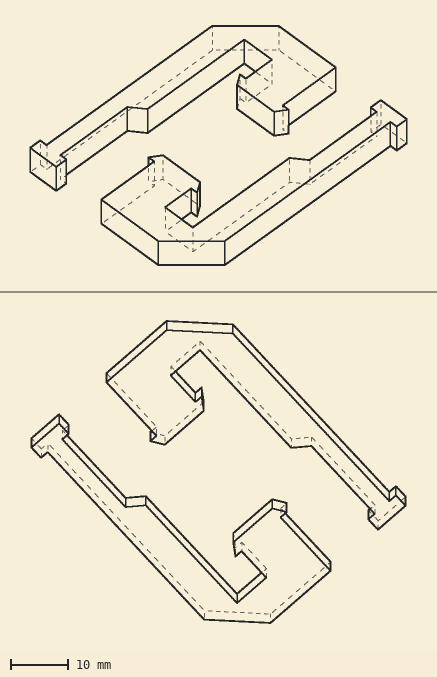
import cadquery as cq

pair_width = 41.0
pair_length = 50.95
thickness = 6.0

foot_width = 6.4
foot_length = 2.5
foot_overhang = 1.55
stem_width = 3.4
stem_end = 18.8

arm_width = 6.2
shoulder_end = 20.9

head_width = 22.05
corner_chamfer = 8.1
bridge_depth = 6.5
finger_width = 9.05

barb_overhang = 1.45
barb_length = 2.15
finger_length = 15.05


def make_hook():
    """Hook with its foot at the -X, -Y corner; the pair is centred on the Z axis."""
    left = -pair_width / 2
    bottom = -pair_length / 2
    top = pair_length / 2
    foot_right = left + foot_width
    foot_top = bottom + foot_length
    outer = left + foot_overhang
    stem_inner = outer + stem_width
    arm_inner = outer + arm_width
    finger_outer = outer + head_width
    finger_inner = finger_outer - finger_width
    tip = top - finger_length
    barb_top = tip + barb_length

    outline = [
        (left, bottom),
        (foot_right, bottom),
        (foot_right, foot_top),
        (stem_inner, foot_top),
        (stem_inner, bottom + stem_end),
        (arm_inner, bottom + shoulder_end),
        (arm_inner, top - bridge_depth),
        (finger_inner, top - bridge_depth),
        (finger_inner, barb_top),
        (finger_inner - barb_overhang, barb_top),
        (finger_inner, tip),
        (finger_outer, tip),
        (finger_outer + barb_overhang, barb_top),
        (finger_outer, barb_top),
        (finger_outer, top),
        (outer + corner_chamfer, top),
        (outer, top - corner_chamfer),
        (outer, foot_top),
        (left, foot_top),
    ]
    return cq.Workplane("XY").polyline(outline).close().extrude(thickness)


hooks = []
for turn in (0, 180):
    hook = make_hook().rotate((0, 0, 0), (0, 0, 1), turn)
    hooks.append(hook.val())

result = cq.Compound.makeCompound(hooks)